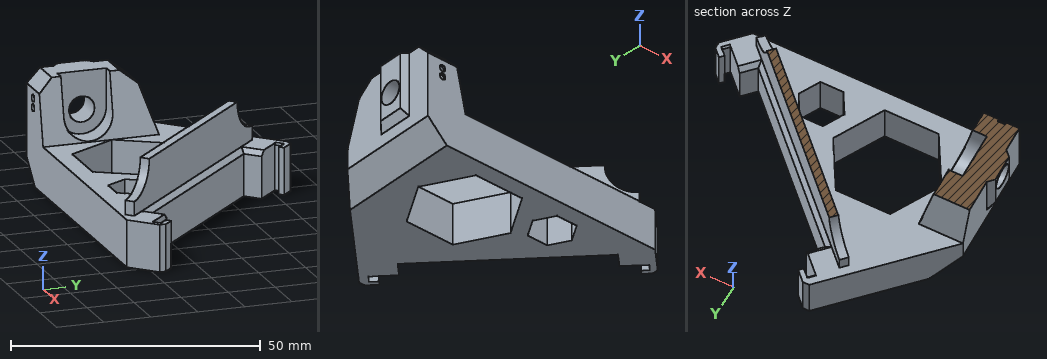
import cadquery as cq
import math

plate_height = 10.0
overall_height = 23.5
left_side_length = 24.66
span = 60.0
top_limit_y = 47.52
right_limit_x = 65.34
underside_chamfer = 5.0

diagonal = math.sqrt(2)
along_start = -left_side_length / diagonal
along_end = along_start + span

recess_floor_out = 43.85
shelf_out = 47.8
hook_inner_out = 49.6
hook_outer_out = 50.8
recess_start = -9.25
recess_end = 35.0
notch_start = -15.4
notch_end = 41.0
hook_tip_start = -13.4
hook_tip_end = 39.2
recess_chamfer = 1.05
notch_chamfer = 0.4

rib_length = 55.0
rib_thickness = 2.0
rib_start = along_start + 2.0
rib_inner_out = recess_floor_out - recess_chamfer - rib_thickness
rib_top = 20.0
rib_corner_radius = 7.0

window_border = 4.0
windows = [(22.3, 21.2), (40.3, 9.0)]

wall_foot = 10.0
wall_crest = 7.1
wall_shoulder_drop = 3.0
wall_crest_start_y = 2.85
wall_shoulder_y = 21.1
wall_crest_end_y = 17.25

key_center_y = 10.0
key_crest_width = 6.0
key_depth = 1.3
key_bottom = 8.0
key_crest_bottom = 10.0
screw_z = 15.4
screw_diameter = 5.4
slot_width = 10.4
slot_floor_x = 5.0

pin_diameter = 1.5
pin_depth = 0.5
pin_x = 3.9
pin_heights = [16.45, 18.45]


def diagonal_point(along, out):
    """Convert a point measured along / out of the long sloping side to X, Y."""
    return ((out + along) / diagonal, (out - along) / diagonal)


def diagonal_box(along_min, along_max, out_min, out_max, bottom, height):
    corners = [
        (along_min, out_min),
        (along_max, out_min),
        (along_max, out_max),
        (along_min, out_max),
    ]
    outline = [diagonal_point(along, out) for along, out in corners]
    return cq.Workplane("XY", origin=(0, 0, bottom)).polyline(outline).close().extrude(height)


def make_plate():
    corner_x = along_end * diagonal
    outer_edge_sum = hook_outer_out * diagonal
    outline = [
        (0, 0),
        (corner_x, 0),
        (right_limit_x, right_limit_x - corner_x),
        (right_limit_x, outer_edge_sum - right_limit_x),
        (outer_edge_sum - top_limit_y, top_limit_y),
        (top_limit_y - left_side_length, top_limit_y),
        (0, left_side_length),
    ]
    return cq.Workplane("XY").polyline(outline).close().extrude(plate_height)


def make_opening():
    """Recess between the shelves, hook notches, and the mouth between the hook tips."""
    recess = diagonal_box(
        recess_start, recess_end, recess_floor_out, hook_outer_out, 0, plate_height
    )
    notches = diagonal_box(notch_start, notch_end, shelf_out, hook_inner_out, 0, plate_height)
    mouth = diagonal_box(
        hook_tip_start, hook_tip_end, shelf_out, 2 * hook_outer_out, 0, plate_height
    )
    return recess.union(notches).union(mouth)


def top_chamfer_cutter(along_min, along_max, out_min, out_max, size, bevel_inner_side):
    """Pocket that widens upward by its size at both ends and, if asked, on its inner side."""
    inner_growth = size if bevel_inner_side else 0
    lower = [
        (along_min, out_min),
        (along_max, out_min),
        (along_max, out_max),
        (along_min, out_max),
    ]
    upper = [
        (along_min - size, out_min - inner_growth),
        (along_max + size, out_min - inner_growth),
        (along_max + size, out_max),
        (along_min - size, out_max),
    ]
    return (
        cq.Workplane("XY", origin=(0, 0, plate_height - size))
        .polyline([diagonal_point(along, out) for along, out in lower]).close()
        .workplane(offset=size)
        .polyline([diagonal_point(along, out) for along, out in upper]).close()
        .loft(ruled=True)
    )


def cut_opening(body):
    recess_bevel = top_chamfer_cutter(
        recess_start, recess_end, recess_floor_out, shelf_out, recess_chamfer, True
    )
    notch_bevel = top_chamfer_cutter(
        notch_start, notch_end, shelf_out, hook_inner_out, notch_chamfer, False
    )
    return body.cut(make_opening()).cut(recess_bevel).cut(notch_bevel)


def make_rib():
    rib_end = rib_start + rib_length
    rib = diagonal_box(
        rib_start,
        rib_end,
        rib_inner_out,
        rib_inner_out + rib_thickness,
        plate_height,
        rib_top - plate_height,
    )
    for end in (rib_start, rib_end):
        plane = cq.Plane(
            origin=(*diagonal_point(end, rib_inner_out), rib_top),
            xDir=(*diagonal_point(1, 0), 0),
            normal=(*diagonal_point(0, 1), 0),
        )
        rib = rib.cut(cq.Workplane(plane).circle(rib_corner_radius).extrude(rib_thickness))
    return rib


def make_wall():
    end_outline = [
        (0, plate_height),
        (left_side_length, plate_height),
        (wall_shoulder_y, overall_height - wall_shoulder_drop),
        (wall_crest_end_y, overall_height),
        (wall_crest_start_y, overall_height),
        (0, overall_height - wall_shoulder_drop),
    ]
    side_outline = [
        (0, plate_height),
        (wall_foot, plate_height),
        (wall_crest, overall_height),
        (0, overall_height),
    ]
    across = cq.Workplane("YZ").polyline(end_outline).close().extrude(wall_foot)
    lengthwise = cq.Workplane("XZ").polyline(side_outline).close().extrude(-left_side_length)
    return across.intersect(lengthwise)


def make_key():
    crest = key_crest_width / 2
    root = crest + key_depth
    plan = [
        (0, key_center_y - root),
        (-key_depth, key_center_y - crest),
        (-key_depth, key_center_y + crest),
        (0, key_center_y + root),
    ]
    side = [
        (0, key_bottom),
        (-key_depth, key_crest_bottom),
        (-key_depth, overall_height),
        (0, overall_height),
    ]
    bevelled_sides = cq.Workplane("XY").polyline(plan).close().extrude(overall_height)
    bevelled_bottom = cq.Workplane("XZ").polyline(side).close().extrude(-left_side_length)
    return bevelled_sides.intersect(bevelled_bottom)


def cut_screw_seat(body):
    """Through hole for the screw, and a round-bottomed slot for its head, open at the top."""
    axis_start = (-key_depth, key_center_y, screw_z)
    hole = (
        cq.Workplane("YZ", origin=axis_start)
        .circle(screw_diameter / 2)
        .extrude(key_depth + wall_foot)
    )
    slot_depth = wall_foot - slot_floor_x
    slot = (
        cq.Workplane("YZ", origin=(slot_floor_x, key_center_y, screw_z))
        .circle(slot_width / 2)
        .extrude(slot_depth)
    )
    slot_mouth = (
        cq.Workplane("XY", origin=(slot_floor_x, key_center_y, screw_z))
        .box(slot_depth, slot_width, overall_height - screw_z, centered=(False, True, False))
    )
    return body.cut(hole).cut(slot).cut(slot_mouth)


def cut_windows(body):
    for center_x, across_flats in windows:
        hexagon = (
            cq.Workplane("XY", origin=(center_x, window_border + across_flats / 2, 0))
            .polygon(6, across_flats / math.cos(math.pi / 6))
            .extrude(plate_height)
        )
        body = body.cut(hexagon)
    return body


def cut_pin_holes(body):
    for height in pin_heights:
        pin_hole = (
            cq.Workplane("XZ", origin=(pin_x, 0, height))
            .circle(pin_diameter / 2)
            .extrude(-pin_depth)
        )
        body = body.cut(pin_hole)
    return body


def cut_underside_chamfer(body):
    triangle = [(0, 0), (underside_chamfer, 0), (0, underside_chamfer)]
    wedge = cq.Workplane("XZ").polyline(triangle).close().extrude(-top_limit_y)
    return body.cut(wedge)


body = cut_windows(cut_opening(make_plate()))
body = cut_underside_chamfer(body)
body = body.union(make_wall()).union(make_key()).union(make_rib())
result = cut_pin_holes(cut_screw_seat(body))